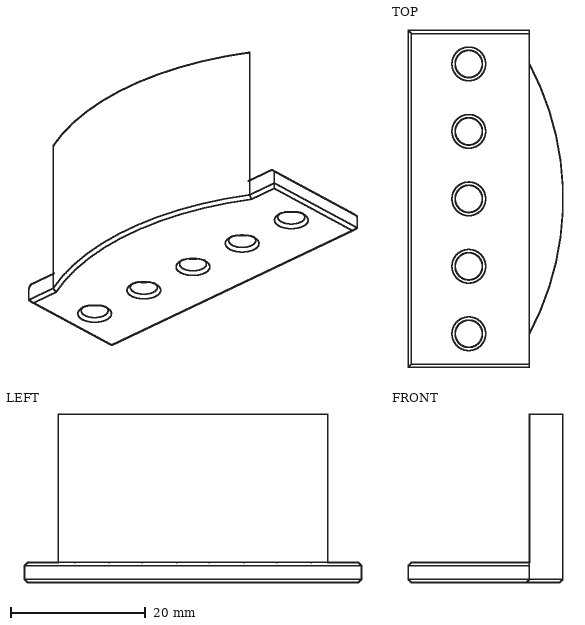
import cadquery as cq

plate_width = 18.0
plate_length = 50.0
plate_thickness = 3.0
edge_chamfer = 0.5

total_height = 25.0
upright_chord = 40.0
upright_depth = 5.0

hole_diameter = 4.0
countersink_diameter = 5.0
countersink_angle = 90.0
hole_count = 5
hole_pitch = 10.0


def make_plate():
    """Flat plate with its top edges chamfered, except along the upright."""
    plate = cq.Workplane("XY").box(
        plate_width, plate_length, plate_thickness, centered=(False, True, False)
    )
    top_edges = plate.edges(">Z and (<X or <Y or >Y)")
    return top_edges.chamfer(edge_chamfer)


def make_upright():
    """Vertical block with a flat front face and a bowed rear face."""
    half_chord = upright_chord / 2
    return (
        cq.Workplane("XY")
        .moveTo(plate_width, -half_chord)
        .threePointArc((plate_width + upright_depth, 0), (plate_width, half_chord))
        .close()
        .extrude(total_height)
    )


def chamfer_underside(body):
    """Chamfer the bottom face all around its outline and around the hole mouths."""
    return body.faces("<Z").edges().chamfer(edge_chamfer)


def drill_holes(body):
    """Countersunk holes in one row along the middle of the plate."""
    first_y = -hole_pitch * (hole_count - 1) / 2
    centers = [(plate_width / 2, first_y + i * hole_pitch) for i in range(hole_count)]
    return (
        body.copyWorkplane(cq.Workplane("XY", origin=(0, 0, plate_thickness)))
        .pushPoints(centers)
        .cskHole(hole_diameter, countersink_diameter, countersink_angle)
    )


bracket = make_plate().union(make_upright())
result = chamfer_underside(drill_holes(bracket))